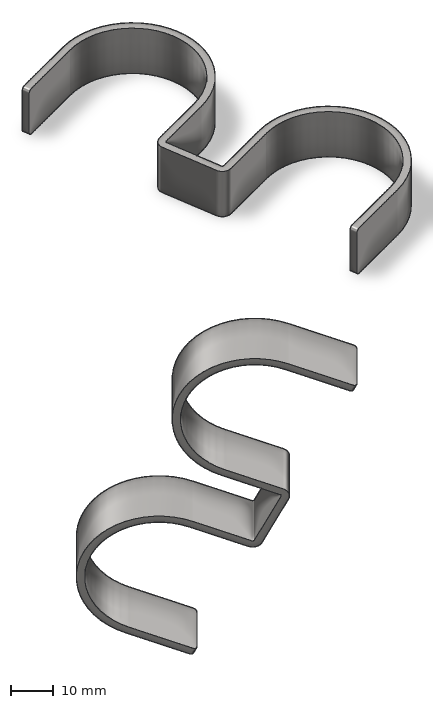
import cadquery as cq

length = 94.0
depth = 37.0
width = 14.0
thickness = 2.0
arch_radius = 19.5
bend_inner_radius = 0.5
tip_rounding = 1.0

bend_outer_radius = bend_inner_radius + thickness
arch_center_x = length / 2 - arch_radius
bridge_half_width = arch_center_x - arch_radius + thickness
leg_length = depth - arch_radius


def arch(center_x, radius):
    """Upright U-shaped solid: a half disc standing on a rectangle."""
    return (
        cq.Workplane("XY")
        .moveTo(center_x - radius, 0)
        .lineTo(center_x - radius, leg_length)
        .threePointArc((center_x, leg_length + radius), (center_x + radius, leg_length))
        .lineTo(center_x + radius, 0)
        .close()
        .extrude(width)
    )


def hollow_arch(center_x):
    """Strip bent over a half circle with two straight legs."""
    return arch(center_x, arch_radius).cut(arch(center_x, arch_radius - thickness))


def bridge():
    """Flat strip joining the two inner legs."""
    return (
        cq.Workplane("XY")
        .rect(2 * bridge_half_width, thickness)
        .extrude(width)
        .translate((0, thickness / 2, 0))
    )


def round_bend(body, x, y, radius):
    """Round the upright edge that passes through (x, y)."""
    picker = cq.selectors.NearestToPointSelector((x, y, width / 2))
    return body.edges("|Z").edges(picker).fillet(radius)


strip = hollow_arch(-arch_center_x).union(hollow_arch(arch_center_x)).union(bridge()).clean()

for side in (-1, 1):
    strip = round_bend(strip, side * bridge_half_width, 0, bend_outer_radius)
    strip = round_bend(strip, side * (bridge_half_width - thickness), thickness, bend_inner_radius)

for side in (-1, 1):
    for z in (0, width):
        tip = (side * (length - thickness) / 2, 0, z)
        picker = cq.selectors.NearestToPointSelector(tip)
        strip = strip.edges("|X").edges(picker).fillet(tip_rounding)

result = strip